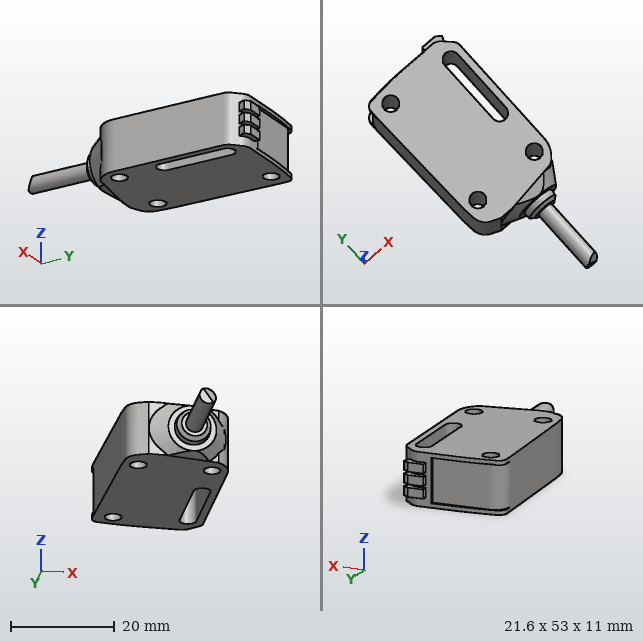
import cadquery as cq
import math

width = 21.55
length = 53.05
thickness = 11.0
half_thickness = thickness / 2
housing_back = 51.9
housing_front = 17.35

hole_diameter = 3.3
left_hole_x = 3.9
right_hole_x = 18.35
front_hole_y = 23.0
back_hole_y = 48.4
slot_front = 31.45
slot_back = 48.9

cable_x = 13.15
cable_radius = 1.7
snout_face_y = 16.05
snout_face_radius = 4.7
collar_front = 13.95
collar_chamfer_end = 14.65
collar_taper_end = 15.6
collar_root = snout_face_y + 0.55
collar_tip_radius = 2.5
collar_mid_radius = 3.35
collar_radius = 3.5
tip_cut_angle = 35
tip_cut_depth = 1.05
snout_root_left = (4.9, housing_front)
snout_root_right = (20.55, 20.15)
snout_root_half_height = 7.45
front_edge_left = (7.7, housing_front)
front_edge_right = (18.9, 19.0)

rib_height = 1.85
rib_pitch = 2.55
recess_rim = 0.9
recess_start_y = 47.85
recess_floor_y = 51.2
recess_end_x = 14.85


def make_housing():
    return (
        cq.Workplane("XY", origin=(0, 0, -half_thickness))
        .moveTo(*front_edge_left)
        .lineTo(*snout_root_left)
        .lineTo(2.7, 18.25)
        .threePointArc((1.45, 19.4), (0.9, 20.95))
        .threePointArc((0.75, 22.5), (0.65, 24.1))
        .lineTo(0, recess_start_y)
        .lineTo(0, 49.55)
        .threePointArc((0.4, 50.85), (1.8, 51.35))
        .threePointArc((5.5, 51.75), (9.2, housing_back))
        .lineTo(17.7, housing_back)
        .threePointArc((19.05, 51.4), (19.75, 50.8))
        .lineTo(20.9, 49.7)
        .threePointArc((21.4, 49.0), (width, 48.1))
        .lineTo(width, 23.6)
        .tangentArcPoint(front_edge_right, relative=False)
        .close()
        .extrude(thickness)
    )


def make_snout():
    """Loft from a slanted oval root inside the housing to the round cable face."""
    run = snout_root_right[0] - snout_root_left[0]
    rise = snout_root_right[1] - snout_root_left[1]
    root_plane = cq.Plane(
        origin=(
            (snout_root_left[0] + snout_root_right[0]) / 2,
            (snout_root_left[1] + snout_root_right[1]) / 2,
            0,
        ),
        xDir=(run, rise, 0),
        normal=(rise, -run, 0),
    )
    face_plane = cq.Plane(origin=(cable_x, snout_face_y, 0), xDir=(1, 0, 0), normal=(0, -1, 0))
    root = cq.Workplane(root_plane).ellipse(math.hypot(run, rise) / 2, snout_root_half_height)
    face = cq.Workplane(face_plane).ellipse(snout_face_radius, snout_face_radius)
    outlines = [root.ctx.pendingWires[0], face.ctx.pendingWires[0]]
    snout = cq.Workplane(cq.Solid.makeLoft(outlines, True))
    return snout.intersect(make_snout_envelope())


def make_snout_envelope():
    """Wedge that bevels the snout towards its face, along the slanted front edge."""
    edge_run = front_edge_right[0] - front_edge_left[0]
    edge_rise = front_edge_right[1] - front_edge_left[1]
    edge_length = math.hypot(edge_run, edge_rise)
    edge_y = front_edge_left[1] + (cable_x - front_edge_left[0]) * edge_rise / edge_run
    bevel_run = (edge_y - snout_face_y) * edge_run / edge_length
    bevel_drop = half_thickness - snout_face_radius
    reach = 2 * bevel_run
    reach_half = half_thickness - 2 * bevel_drop
    inner = width / 2
    section_plane = cq.Plane(
        origin=(cable_x, edge_y, 0),
        xDir=(edge_rise, -edge_run, 0),
        normal=(edge_run, edge_rise, 0),
    )
    return (
        cq.Workplane(section_plane)
        .polyline([
            (-inner, -half_thickness),
            (0, -half_thickness),
            (reach, -reach_half),
            (reach, reach_half),
            (0, half_thickness),
            (-inner, half_thickness),
        ])
        .close()
        .extrude(width, both=True)
    )


def make_cable():
    """Strain-relief collar and cable, revolved about the cable axis."""
    cable = (
        cq.Workplane("XY")
        .polyline([
            (cable_x, 0),
            (cable_x + cable_radius, 0),
            (cable_x + cable_radius, collar_front),
            (cable_x + collar_tip_radius, collar_front),
            (cable_x + collar_mid_radius, collar_chamfer_end),
            (cable_x + collar_radius, collar_taper_end),
            (cable_x + collar_radius, collar_root),
            (cable_x, collar_root),
        ])
        .close()
        .revolve(360, (cable_x, 0), (cable_x, 1))
    )
    cut_angle = math.radians(tip_cut_angle)
    cut_plane = cq.Plane(
        origin=(cable_x, 0, 0),
        xDir=(math.cos(cut_angle), 0, math.sin(cut_angle)),
        normal=(-math.sin(cut_angle), 0, math.cos(cut_angle)),
    )
    cut = (
        cq.Workplane(cut_plane)
        .polyline([(0, 0), (cable_radius, 0), (cable_radius, tip_cut_depth)])
        .close()
        .extrude(2 * cable_radius, both=True)
    )
    return cable.cut(cut)


def make_rib(z):
    return (
        cq.Workplane("XY", origin=(0, 0, z - rib_height / 2))
        .polyline([(16.0, 51.5), (16.1, length), (19.35, length), (20.5, 52.3), (19.75, 50.5)])
        .close()
        .extrude(rib_height)
    )


def make_recess():
    """Lens recess wrapping the back left corner between two thin rims."""
    recess_height = thickness - 2 * recess_rim
    return (
        cq.Workplane("XY", origin=(0, 0, -recess_height / 2))
        .moveTo(0, recess_start_y)
        .threePointArc((0.75, 50.15), (2.9, recess_floor_y))
        .lineTo(recess_end_x, recess_floor_y)
        .lineTo(recess_end_x, length)
        .lineTo(-0.55, length)
        .lineTo(-0.55, recess_start_y)
        .close()
        .extrude(recess_height)
    )


def make_mounting_cuts():
    hole_points = [
        (left_hole_x, front_hole_y),
        (left_hole_x, back_hole_y),
        (right_hole_x, front_hole_y),
    ]
    base = cq.Workplane("XY", origin=(0, 0, -half_thickness))
    holes = base.pushPoints(hole_points).circle(hole_diameter / 2).extrude(thickness)
    slot = (
        base.center(right_hole_x, (slot_front + slot_back) / 2)
        .slot2D(slot_back - slot_front, hole_diameter, 90)
        .extrude(thickness)
    )
    return holes.union(slot)


body = make_housing().cut(make_recess())
body = body.union(make_snout()).union(make_cable())
for rib_z in (-rib_pitch, 0, rib_pitch):
    body = body.union(make_rib(rib_z))
result = body.cut(make_mounting_cuts())